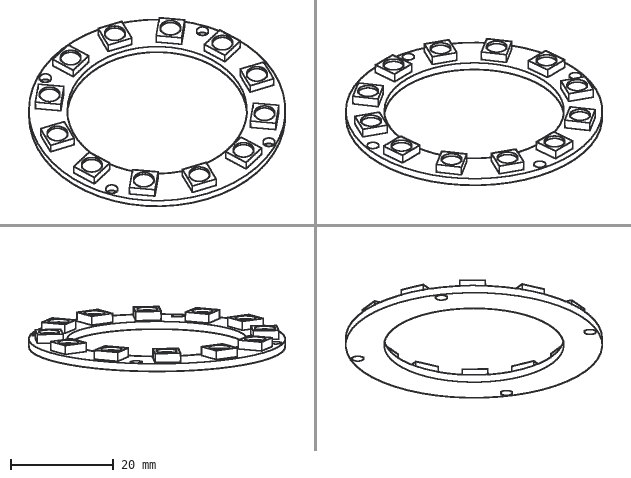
import cadquery as cq

outer_diameter = 50.0
inner_diameter = 35.0
overall_height = 3.3
board_thickness = 1.55

led_count = 12
led_circle_radius = 21.1
led_side = 5.0
led_height = overall_height - board_thickness
lens_diameter = 4.0
lens_depth = 0.55

hole_count = 4
hole_circle_radius = 23.5
hole_diameter = 2.3
hole_start_angle = 45.0


def ring_places(height, radius, start_angle, count):
    """Evenly spaced places on a circle at the given height, each turned to face the ring centre."""
    return cq.Workplane("XY").workplane(offset=height).polarArray(radius, start_angle, 360, count)


def make_board():
    """Flat ring with through holes for mounting."""
    ring = cq.Workplane("XY").circle(outer_diameter / 2).circle(inner_diameter / 2).extrude(board_thickness)
    hole_places = ring_places(0, hole_circle_radius, hole_start_angle, hole_count)
    holes = hole_places.circle(hole_diameter / 2).extrude(board_thickness)
    return ring.cut(holes)


def make_leds():
    """Square packages standing on the board, each with a round lens recess in its top."""
    package_places = ring_places(board_thickness, led_circle_radius, 0, led_count)
    packages = package_places.rect(led_side, led_side).extrude(led_height)
    recess_places = ring_places(overall_height, led_circle_radius, 0, led_count)
    recesses = recess_places.circle(lens_diameter / 2).extrude(-lens_depth)
    return packages.cut(recesses)


result = make_board().union(make_leds())